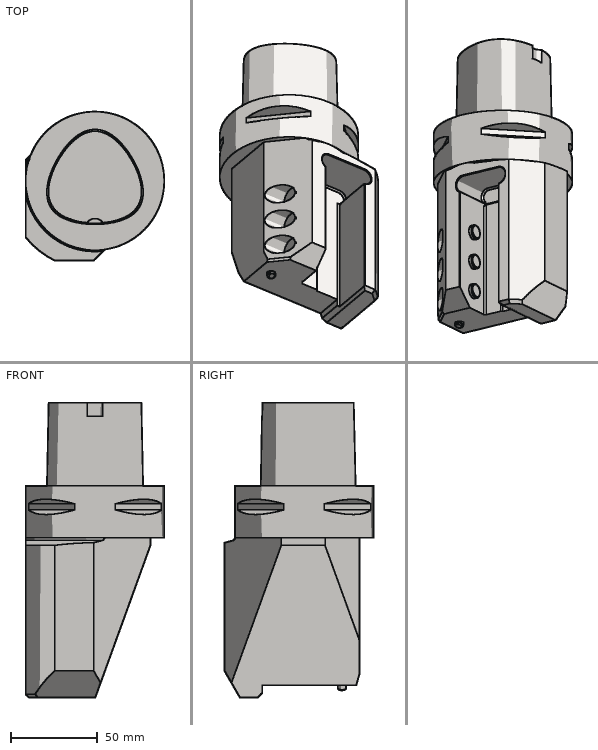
import cadquery as cq
import math


SHANK_LENGTH = 48.0
SHANK_BASE_RADIUS = 27.4
SHANK_BASE_LOBE = 2.3
SHANK_TOP_RADIUS = 26.45
SHANK_TOP_LOBE = 2.15
LOBE_HALF_ANGLE = 25.0
LOBE_COUNT = 3
LOBE_PITCH = 360.0 / LOBE_COUNT
POINTS_PER_FACE = 9
NOTCH_RADIUS = 5.4
NOTCH_CENTER_Y = -27.1
NOTCH_DEPTH = 8.0

FLANGE_RADIUS = 40.0
FLANGE_THICKNESS = 30.0
GRIP_SLOT_CENTER_Z = -12.1
GRIP_SLOT_FLOOR_DISTANCE = 35.3
GRIP_SLOT_FLOOR_HEIGHT = 3.4
GRIP_SLOT_FLANK_ANGLE = 30.0
GRIP_SLOT_ANGLES = (45, 135, 225, 315)

BODY_BOTTOM_Z = -122.0
BODY_LEFT_X = -40.0
BODY_RIGHT_X = 32.0
BODY_BACK_Y = 32.0
BODY_FRONT_Y = -46.0
BACK_CORNER_CUT = 20.0
CORNER_CUT_ANGLE = 45.0
FRONT_CUT_START_X = -0.8
TURNED_RADIUS = 51.5
NECK_RADIUS = 40.8
NECK_HEIGHT = 1.35
SHOULDER_ANGLE = 15.0
SLANT_TOP_Z = -34.3
SLANT_BOTTOM_X = 0.2

SHORT_SIDE_Z = -115.0
SHORT_SIDE_BEVEL = 10.0
CORNER_BEVEL = 1.2
BACK_BEVEL_WIDTH = 2.0
BACK_BEVEL_HEIGHT = 7.0
LEG_FRONT_BEVEL_HEIGHT = 15.5
LEG_FRONT_BEVEL_ANGLE = 30.0
LEG_BACK_Y = -24.1
LEG_SIDE_BEVEL = 2.0
LEG_INNER_BEVEL = 2.6

SLOT_FLOOR_X = -14.0
SLOT_BACK_Y = 2.1
SLOT_FRONT_Y = -25.1
SLOT_MOUTH_CHAMFER = 0.4
CHAMFER_ANGLE = 45.0
SLOT_FLOOR_CHAMFER = 1.0
RELIEF_CENTER_Z = -42.4
RELIEF_RADIUS = 4.9
RELIEF_BACK_Y = 4.7
RELIEF_FRONT_Y = -29.7
PAD_HEIGHT = 1.0
PAD_FRONT_Y = -9.9
PAD_TOP_Z = -46.6

SCREW_X = -26.75
SCREW_FIRST_Z = -68.0
SCREW_PITCH = 18.0
SCREW_COUNT = 3
SCREW_HOLE_DIAMETER = 12.5
SCREW_HOLE_FLOOR_Y = 18.0
SCREW_TIP_DIAMETER = 8.5
SCREW_TIP_LENGTH = 2.3
SCREW_TIP_CHAMFER = 0.6
PIN_DIAMETER = 5.0
PIN_X = -12.0
PIN_Y = 21.7
PIN_ROOT_Z = SHORT_SIDE_Z + 2.0
PIN_LENGTH = 4.6
PIN_TILT = 20.0
PIN_CHAMFER = 0.8

EMBED = 1.0
MARGIN = 60.0


def lobe_point(radius, lobe, angle, z):
    """Point of the three-lobed outline; angle 0 is the lobe pointing to +Y."""
    a = math.radians(angle)
    x = -radius * math.sin(a) + lobe * math.sin(2 * a)
    y = radius * math.cos(a) + lobe * math.cos(2 * a)
    return cq.Vector(x, y, z)


def lobed_wire(radius, lobe, z):
    edges = []
    for index in range(LOBE_COUNT):
        middle = index * LOBE_PITCH
        lobe_start = middle - LOBE_HALF_ANGLE
        lobe_end = middle + LOBE_HALF_ANGLE
        next_lobe = lobe_start + LOBE_PITCH
        for start, end in ((lobe_start, lobe_end), (lobe_end, next_lobe)):
            step = (end - start) / (POINTS_PER_FACE - 1)
            points = [lobe_point(radius, lobe, start + i * step, z) for i in range(POINTS_PER_FACE)]
            edges.append(cq.Edge.makeSpline(points))
    return cq.Wire.assembleEdges(edges)


def make_shank():
    base = lobed_wire(SHANK_BASE_RADIUS, SHANK_BASE_LOBE, 0)
    top = lobed_wire(SHANK_TOP_RADIUS, SHANK_TOP_LOBE, SHANK_LENGTH)
    shank = cq.Workplane(obj=cq.Solid.makeLoft([base, top], True))
    notch = (
        cq.Workplane("XY", origin=(0, NOTCH_CENTER_Y, SHANK_LENGTH - NOTCH_DEPTH))
        .circle(NOTCH_RADIUS)
        .extrude(NOTCH_DEPTH + EMBED)
    )
    return shank.cut(notch)


def make_flange():
    flange = cq.Workplane("XY").circle(FLANGE_RADIUS).extrude(-FLANGE_THICKNESS)
    inner = GRIP_SLOT_FLOOR_DISTANCE
    outer = FLANGE_RADIUS + EMBED
    depth = outer - inner
    half_floor = GRIP_SLOT_FLOOR_HEIGHT / 2
    half_mouth = half_floor + depth * math.tan(math.radians(GRIP_SLOT_FLANK_ANGLE))
    grip_slot = (
        cq.Workplane("XZ", origin=(0, 0, GRIP_SLOT_CENTER_Z))
        .polyline([(inner, -half_floor), (outer, -half_mouth), (outer, half_mouth), (inner, half_floor)])
        .close()
        .extrude(FLANGE_RADIUS, both=True)
    )
    for angle in GRIP_SLOT_ANGLES:
        flange = flange.cut(grip_slot.rotate((0, 0, 0), (0, 0, 1), angle))
    return flange


def prism_along_z(points, bottom_z, top_z):
    """Polygon in XY, extruded between two heights."""
    return cq.Workplane("XY", origin=(0, 0, bottom_z)).polyline(points).close().extrude(top_z - bottom_z)


def wedge_along_y(points, back_y, front_y):
    """Polygon in XZ, extruded between two Y positions."""
    return cq.Workplane("XZ", origin=(0, back_y, 0)).polyline(points).close().extrude(back_y - front_y)


def wedge_along_x(points):
    """Polygon in YZ, extruded through the whole part along X."""
    return cq.Workplane("YZ").polyline(points).close().extrude(MARGIN, both=True)


def make_body():
    """Prism of the plan outline, limited by a turned shoulder and the sloping +X face."""
    front_cut = BODY_RIGHT_X - FRONT_CUT_START_X
    plan = [
        (BODY_LEFT_X, BODY_FRONT_Y),
        (FRONT_CUT_START_X, BODY_FRONT_Y),
        (BODY_RIGHT_X, BODY_FRONT_Y + front_cut),
        (BODY_RIGHT_X, BODY_BACK_Y - BACK_CORNER_CUT),
        (BODY_RIGHT_X - BACK_CORNER_CUT, BODY_BACK_Y),
        (BODY_LEFT_X + BACK_CORNER_CUT, BODY_BACK_Y),
        (BODY_LEFT_X, BODY_BACK_Y - BACK_CORNER_CUT),
    ]
    top_z = -FLANGE_THICKNESS + EMBED
    prism = prism_along_z(plan, BODY_BOTTOM_Z, top_z)

    neck_z = -FLANGE_THICKNESS - NECK_HEIGHT
    shoulder_z = neck_z - (TURNED_RADIUS - NECK_RADIUS) * math.tan(math.radians(SHOULDER_ANGLE))
    turned = (
        cq.Workplane("XZ")
        .moveTo(0, top_z)
        .lineTo(FLANGE_RADIUS, top_z)
        .lineTo(FLANGE_RADIUS, -FLANGE_THICKNESS)
        .lineTo(NECK_RADIUS, neck_z)
        .lineTo(TURNED_RADIUS, shoulder_z)
        .lineTo(TURNED_RADIUS, BODY_BOTTOM_Z + LEG_SIDE_BEVEL)
        .lineTo(TURNED_RADIUS - LEG_SIDE_BEVEL, BODY_BOTTOM_Z)
        .lineTo(0, BODY_BOTTOM_Z)
        .close()
        .revolve(360, (0, 0, 0), (0, 1, 0))
    )
    slope = [
        (BODY_RIGHT_X, SLANT_TOP_Z),
        (BODY_RIGHT_X, BODY_BOTTOM_Z),
        (SLANT_BOTTOM_X, BODY_BOTTOM_Z),
    ]
    return prism.intersect(turned).cut(wedge_along_y(slope, BODY_BACK_Y, BODY_FRONT_Y))


def trim_short_side(body):
    """Shorten the body behind the leg and bevel its lower edges."""
    length = SHORT_SIDE_Z - BODY_BOTTOM_Z
    block = cq.Workplane("XY").box(
        2 * MARGIN, BODY_BACK_Y - LEG_BACK_Y, length, centered=(True, False, False)
    )
    body = body.cut(block.translate((0, LEG_BACK_Y, BODY_BOTTOM_Z)))
    side_bevel = [
        (BODY_LEFT_X, SHORT_SIDE_Z + SHORT_SIDE_BEVEL),
        (BODY_LEFT_X + SHORT_SIDE_BEVEL, SHORT_SIDE_Z),
        (BODY_LEFT_X, SHORT_SIDE_Z),
    ]
    body = body.cut(wedge_along_y(side_bevel, BODY_BACK_Y, LEG_BACK_Y))
    back_bevel = [
        (BODY_BACK_Y, SHORT_SIDE_Z + BACK_BEVEL_HEIGHT),
        (BODY_BACK_Y - BACK_BEVEL_WIDTH, SHORT_SIDE_Z),
        (BODY_BACK_Y, SHORT_SIDE_Z),
    ]
    body = body.cut(wedge_along_x(back_bevel))
    corner_distance = (BODY_BACK_Y - BODY_LEFT_X - BACK_CORNER_CUT) * math.cos(math.radians(CORNER_CUT_ANGLE))
    corner_bevel = (
        cq.Workplane("XZ")
        .polyline([
            (-corner_distance, SHORT_SIDE_Z + CORNER_BEVEL),
            (CORNER_BEVEL - corner_distance, SHORT_SIDE_Z),
            (-corner_distance, SHORT_SIDE_Z),
        ])
        .close()
        .extrude(MARGIN, both=True)
        .rotate((0, 0, 0), (0, 0, 1), -CORNER_CUT_ANGLE)
    )
    return body.cut(corner_bevel)


def bevel_leg(body):
    """Bevel the outer, side and inner lower edges of the leg."""
    front_width = LEG_FRONT_BEVEL_HEIGHT * math.tan(math.radians(LEG_FRONT_BEVEL_ANGLE))
    front = [
        (BODY_FRONT_Y, BODY_BOTTOM_Z + LEG_FRONT_BEVEL_HEIGHT),
        (BODY_FRONT_Y + front_width, BODY_BOTTOM_Z),
        (BODY_FRONT_Y, BODY_BOTTOM_Z),
    ]
    inner = [
        (LEG_BACK_Y, BODY_BOTTOM_Z + LEG_INNER_BEVEL),
        (LEG_BACK_Y - LEG_INNER_BEVEL, BODY_BOTTOM_Z),
        (LEG_BACK_Y, BODY_BOTTOM_Z),
    ]
    side = [
        (BODY_LEFT_X, BODY_BOTTOM_Z + LEG_SIDE_BEVEL),
        (BODY_LEFT_X + LEG_SIDE_BEVEL, BODY_BOTTOM_Z),
        (BODY_LEFT_X, BODY_BOTTOM_Z),
    ]
    body = body.cut(wedge_along_x(front)).cut(wedge_along_x(inner))
    return body.cut(wedge_along_y(side, LEG_BACK_Y, BODY_FRONT_Y))


def cut_tool_slot(body):
    """Slot for the tool, with a rounded cross slot at its upper end and a raised pad."""
    mouth_x = BODY_LEFT_X + SLOT_MOUTH_CHAMFER
    wall_end_x = SLOT_FLOOR_X - SLOT_FLOOR_CHAMFER
    channel_plan = [
        (BODY_LEFT_X, SLOT_FRONT_Y - SLOT_MOUTH_CHAMFER),
        (mouth_x, SLOT_FRONT_Y),
        (wall_end_x, SLOT_FRONT_Y),
        (SLOT_FLOOR_X, SLOT_FRONT_Y + SLOT_FLOOR_CHAMFER),
        (SLOT_FLOOR_X, SLOT_BACK_Y),
        (mouth_x, SLOT_BACK_Y),
        (BODY_LEFT_X, SLOT_BACK_Y + SLOT_MOUTH_CHAMFER),
    ]
    channel = prism_along_z(channel_plan, BODY_BOTTOM_Z, RELIEF_CENTER_Z)

    length = RELIEF_BACK_Y - RELIEF_FRONT_Y
    width = 2 * RELIEF_RADIUS
    growth = 2 * SLOT_MOUTH_CHAMFER
    center_y = (RELIEF_BACK_Y + RELIEF_FRONT_Y) / 2
    mouth_plane = cq.Workplane("YZ", origin=(BODY_LEFT_X, center_y, RELIEF_CENTER_Z))
    floor_plane = cq.Workplane("YZ", origin=(wall_end_x, center_y, RELIEF_CENTER_Z))
    relief = mouth_plane.slot2D(length, width).extrude(wall_end_x - BODY_LEFT_X)
    mouth_outline = mouth_plane.slot2D(length + growth, width + growth)
    relief_mouth = mouth_outline.extrude(SLOT_MOUTH_CHAMFER, taper=CHAMFER_ANGLE)
    relief_floor = floor_plane.slot2D(length, width).extrude(SLOT_FLOOR_CHAMFER, taper=CHAMFER_ANGLE)
    body = body.cut(channel).cut(relief).cut(relief_mouth).cut(relief_floor)
    return body.union(make_pad())


def make_pad():
    """Seat on the slot floor, sloped at its top and -Y edges, with a sloped inner corner."""
    seat_x = SLOT_FLOOR_X - PAD_HEIGHT
    plan = [
        (SLOT_FLOOR_X + EMBED, PAD_FRONT_Y),
        (SLOT_FLOOR_X, PAD_FRONT_Y),
        (seat_x, PAD_FRONT_Y + PAD_HEIGHT),
        (seat_x, SLOT_BACK_Y - PAD_HEIGHT),
        (seat_x - PAD_HEIGHT, SLOT_BACK_Y),
        (SLOT_FLOOR_X + EMBED, SLOT_BACK_Y),
    ]
    pad = prism_along_z(plan, SHORT_SIDE_Z, PAD_TOP_Z)
    crest_x = seat_x - PAD_HEIGHT
    top_slope = [
        (SLOT_FLOOR_X, PAD_TOP_Z),
        (crest_x, PAD_TOP_Z - 2 * PAD_HEIGHT),
        (crest_x, PAD_TOP_Z),
    ]
    return pad.cut(wedge_along_y(top_slope, SLOT_BACK_Y, PAD_FRONT_Y))


def add_clamping_screws(body):
    """Row of screw holes from the back, with the screw tips standing out in the slot."""
    for index in range(SCREW_COUNT):
        z = SCREW_FIRST_Z - index * SCREW_PITCH
        hole = (
            cq.Workplane("XZ", origin=(SCREW_X, SCREW_HOLE_FLOOR_Y, z))
            .circle(SCREW_HOLE_DIAMETER / 2)
            .extrude(SCREW_HOLE_FLOOR_Y - BODY_BACK_Y)
        )
        tip = (
            cq.Workplane("XZ", origin=(SCREW_X, SLOT_BACK_Y + EMBED, z))
            .circle(SCREW_TIP_DIAMETER / 2)
            .extrude(SCREW_TIP_LENGTH + EMBED)
            .faces("<Y")
            .chamfer(SCREW_TIP_CHAMFER)
        )
        body = body.cut(hole).union(tip)
    return body


def make_coolant_pin():
    """Short pin that leans toward the open side of the slot."""
    tilt = math.radians(PIN_TILT)
    direction = (-math.sin(tilt), 0, -math.cos(tilt))
    return (
        cq.Workplane(cq.Plane(origin=(PIN_X, PIN_Y, PIN_ROOT_Z), xDir=(0, 1, 0), normal=direction))
        .circle(PIN_DIAMETER / 2)
        .extrude(PIN_LENGTH)
        .faces("<Z")
        .chamfer(PIN_CHAMFER)
    )


body = make_body()
body = trim_short_side(body)
body = bevel_leg(body)
body = cut_tool_slot(body)
body = add_clamping_screws(body)
body = body.union(make_coolant_pin())
result = make_flange().union(make_shank()).union(body)